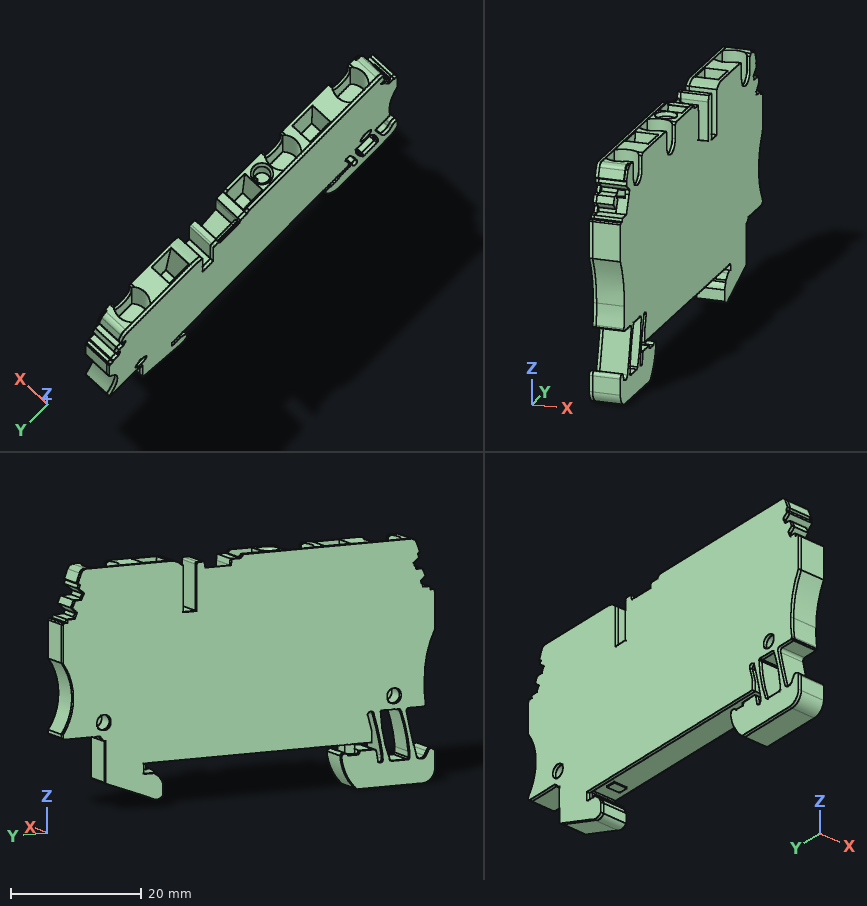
import cadquery as cq
import math

WIDTH = 5.1
LENGTH = 64.05
HEIGHT = 38.35
COVER_THICKNESS = 0.6
HALF = LENGTH / 2

SHOULDER_Z = 30.15
LEDGE_Z = 30.7
WAIST_TOP_Z = 23.9
SKIRT_Z = 12.0
RAIL_Z = 7.1
FOOT_ROUND = 2.2
SKIRT_CORNER_Y = 30.2

SLOT_TOP_Y = 11.35
SLOT_END_Y = 8.95
WINDOW_Y = (3.1, 7.5)
WINDOW_Z = 36.8
WINDOW_WALL_X = 0.95
WINDOW_DEPTH = 6.4
WINDOW_RISE = 1.6
WINDOW_BEVEL_X = 0.25
WINDOW_BEVEL_DROP = 0.65

OPENING_X = 2.6
OPENING_WALL_X = 4.6
FUNNEL_RADIUS = 2.8
FUNNEL_DEPTH = 9.6
FUNNEL_YS = (24.3, -9.3, -24.3)
NOTCH_HALF_WIDTH = 1.9
NOTCH_CHAMFER = 0.4
NOTCH_STRAIGHT = 2.55

LEVER_X = (0.8, 4.55)
LEVER_DEPTH = 9.6
LEVER_POCKETS = (
    (13.6, 17.9, 14.7, 17.5),
    (-2.8, 1.5, -2.3, 0.3),
    (-17.9, -13.4, -17.7, -14.35),
)

TEST_Y = -4.6
TEST_RADIUS = 1.35
TEST_MOUTH_RADIUS = 1.7
TEST_MOUTH_DEPTH = 0.65
TEST_DEPTH = 5.1
SOCKET_HEIGHT = 1.9
KEY_WIDTH = 1.0
KEY_START = 0.45

PEG_Y = 25.0
PEG_Z = 14.1
PEG_RADIUS = 1.2
PEG_DEPTH = 3.2

TOOTH_END_X = 3.4
BORE_X = 3.85
BORE_RADIUS = 0.7
BORE_Y = -28.3
BORE_Z = (33.0, 34.1)
LIP_END_X = 4.75

CONTACT_X = (1.3, 3.85)
CONTACT_TOP_Z = 8.95
LEG_Y = (-18.8, -17.15)
LEG_BOTTOM_Z = 5.4
PAD_Y = (13.1, 14.85)
PAD_BOTTOM_Z = 6.9

TEETH = [
    (29.45, 36.2), (29.1, 35.95), (29.35, 35.35), (28.4, 34.6), (28.9, 33.55), (29.9, 33.55),
    (30.4, 32.4), (29.6, 31.65), (30.05, LEDGE_Z), (31.2, LEDGE_Z), (31.25, SHOULDER_Z),
    (31.85, SHOULDER_Z), (HALF, 29.9),
]
TOP_CORNER_Y = 27.85


def prism(points, x_start, x_end):
    """Straight-sided solid along X from a closed (Y, Z) outline."""
    return cq.Workplane("YZ", origin=(x_start, 0, 0)).polyline(points).close().extrude(x_end - x_start)


def box(x_range, y_range, z_range):
    size = [high - low for low, high in (x_range, y_range, z_range)]
    return cq.Workplane().box(*size, centered=False).translate((x_range[0], y_range[0], z_range[0]))


def side_outline(x_start):
    """Closed (Y, Z) outline of the whole block, clockwise from the +Y top corner."""
    line = cq.Workplane("YZ", origin=(x_start, 0, 0)).moveTo(TOP_CORNER_Y, HEIGHT)

    line = line.lineTo(13.45, HEIGHT).threePointArc((12.35, 38.2), (SLOT_TOP_Y, 37.55))
    for point in [(SLOT_TOP_Y, SHOULDER_Z), (SLOT_END_Y, SHOULDER_Z), (SLOT_END_Y, 37.5)]:
        line = line.lineTo(*point)
    line = line.threePointArc((8.87, 37.695), (8.65, 37.8))
    for point in [
        (7.7, 37.8), (WINDOW_Y[1], WINDOW_Z), (WINDOW_Y[0], WINDOW_Z), (2.95, 37.8), (1.5, 37.8),
        (0.95, HEIGHT), (-TOP_CORNER_Y, HEIGHT),
    ]:
        line = line.lineTo(*point)

    line = line.threePointArc((-28.55, 38.2), (-28.9, 37.7))
    for y, z in TEETH:
        line = line.lineTo(-y, z)
    line = line.lineTo(-HALF, WAIST_TOP_Z).threePointArc((-30.7, 20.25), (-SKIRT_CORNER_Y, 16.1))
    line = line.threePointArc((-SKIRT_CORNER_Y, 14.3), (-30.4, 12.5)).lineTo(-30.4, 12.2)
    line = line.lineTo(-SKIRT_CORNER_Y, SKIRT_Z)

    line = line.lineTo(-27.55, SKIRT_Z).threePointArc((-27.2, 11.8), (-27.15, 11.35))
    line = line.threePointArc((-27.9, 7.95), (-28.8, 4.4))
    line = line.threePointArc((-29.65, 3.85), (-30.4, 4.2)).lineTo(-30.8, 4.9)
    line = line.threePointArc((-31.45, 5.4), (-HALF, 4.8)).lineTo(-HALF, FOOT_ROUND)
    round_inset = FOOT_ROUND * (1 - math.sqrt(0.5))
    line = line.threePointArc((-HALF + round_inset, round_inset), (-HALF + FOOT_ROUND, 0))
    line = line.lineTo(-18.6, 0).threePointArc((-16.85, 2.25), (-15.95, 5.4))

    line = line.threePointArc((-16.45, 5.75), (-17.15, 5.4))
    for point in [(-18.8, 5.4), (-19.15, 5.95), (-21.7, 5.95), (-21.9, 5.75), (-22.15, 4.3)]:
        line = line.lineTo(*point)
    line = line.threePointArc((-22.6, 3.85), (-23.05, 4.4)).lineTo(-23.05, 4.85)
    line = line.threePointArc((-22.5, 7.8), (-21.5, 11.45)).threePointArc((-20.9, 12.0), (-20.4, 11.45))
    line = line.lineTo(-21.15, 8.9).lineTo(-21.15, RAIL_Z)

    line = line.lineTo(18.1, RAIL_Z).lineTo(18.1, 5.6).lineTo(17.95, 5.45).lineTo(16.2, 5.45)
    line = line.threePointArc((15.25, 4.6), (14.8, 3.7)).lineTo(14.8, 1.85)
    line = line.threePointArc((15.55, 1.35), (16.7, 1.55))
    for point in [
        (24.5, 4.4), (24.65, 4.6), (24.65, 11.2), (25.05, 11.2), (25.7, SKIRT_Z),
        (31.85, SKIRT_Z), (HALF, 12.2),
    ]:
        line = line.lineTo(*point)

    line = line.lineTo(HALF, 12.75).threePointArc((30.2, 18.05), (HALF, WAIST_TOP_Z))
    for y, z in reversed(TEETH):
        line = line.lineTo(y, z)
    return line.lineTo(28.9, 37.7).threePointArc((28.55, 38.2), (TOP_CORNER_Y, HEIGHT)).close()


def spring_window(x_start):
    """Opening between the two legs of the spring foot."""
    return (
        cq.Workplane("YZ", origin=(x_start, 0, 0))
        .moveTo(-22.85, SKIRT_Z).lineTo(-25.95, SKIRT_Z).lineTo(-26.25, 11.45)
        .threePointArc((-27.15, 8.3), (-27.7, 5.1))
        .lineTo(-27.7, 4.15).lineTo(-27.4, 3.9).lineTo(-24.6, 3.9).lineTo(-24.3, 4.15)
        .threePointArc((-23.2, 7.8), (-22.7, 11.8)).close()
    )


def slab(x_start, x_end):
    thickness = x_end - x_start
    return side_outline(x_start).extrude(thickness).cut(spring_window(x_start).extrude(thickness))


def peg_holes():
    return (
        cq.Workplane("YZ").pushPoints([(PEG_Y, PEG_Z), (-PEG_Y, PEG_Z)])
        .circle(PEG_RADIUS).extrude(PEG_DEPTH)
    )


def funnel(y):
    """Round wire funnel, flattened at both side walls, with its notch through the +X wall."""
    top = HEIGHT - FUNNEL_DEPTH
    bore = cq.Workplane(origin=(OPENING_X, y, top)).circle(FUNNEL_RADIUS).extrude(FUNNEL_DEPTH)
    reach = (y - FUNNEL_RADIUS, y + FUNNEL_RADIUS)
    bore = bore.intersect(box((COVER_THICKNESS, OPENING_WALL_X), reach, (top, HEIGHT)))
    floor_z = HEIGHT - NOTCH_STRAIGHT
    mouth = NOTCH_HALF_WIDTH + NOTCH_CHAMFER
    notch = (
        cq.Workplane("YZ", origin=(OPENING_X, 0, 0))
        .moveTo(y - mouth, HEIGHT).lineTo(y - NOTCH_HALF_WIDTH, HEIGHT - NOTCH_CHAMFER)
        .lineTo(y - NOTCH_HALF_WIDTH, floor_z)
        .threePointArc((y, floor_z - NOTCH_HALF_WIDTH), (y + NOTCH_HALF_WIDTH, floor_z))
        .lineTo(y + NOTCH_HALF_WIDTH, HEIGHT - NOTCH_CHAMFER).lineTo(y + mouth, HEIGHT)
        .close().extrude(WIDTH - OPENING_X)
    )
    return bore.union(notch)


def lever_pocket(top_low, top_high, bottom_low, bottom_high):
    floor_z = HEIGHT - LEVER_DEPTH
    points = [(top_low, HEIGHT), (top_high, HEIGHT), (bottom_high, floor_z), (bottom_low, floor_z)]
    return prism(points, *LEVER_X)


def test_hole():
    mouth_z = HEIGHT - TEST_MOUTH_DEPTH
    bore_start = (OPENING_X, TEST_Y, HEIGHT - TEST_DEPTH)
    bore = cq.Workplane(origin=bore_start).circle(TEST_RADIUS).extrude(TEST_DEPTH)
    mouth = (
        cq.Workplane(origin=(OPENING_X, TEST_Y, mouth_z)).circle(TEST_RADIUS)
        .workplane(offset=TEST_MOUTH_DEPTH).circle(TEST_MOUTH_RADIUS).loft()
    )
    return bore.union(mouth)


def marker_window():
    floor_z = WINDOW_Z - WINDOW_DEPTH
    points = [
        (WINDOW_Y[0], floor_z + WINDOW_RISE), (WINDOW_Y[0], HEIGHT),
        (WINDOW_Y[1], HEIGHT), (WINDOW_Y[1], floor_z),
    ]
    return prism(points, WINDOW_WALL_X, WIDTH)


def window_bevel():
    """Wedge that slopes the cover's edge down to the lower wall beside the window."""
    wedge = [
        (WINDOW_BEVEL_X, WINDOW_Z), (COVER_THICKNESS, WINDOW_Z - WINDOW_BEVEL_DROP),
        (WINDOW_WALL_X, WINDOW_Z - WINDOW_BEVEL_DROP), (WINDOW_WALL_X, WINDOW_Z),
    ]
    return (
        cq.Workplane("XZ", origin=(0, WINDOW_Y[1], 0))
        .polyline(wedge).close().extrude(WINDOW_Y[1] - WINDOW_Y[0])
    )


def tooth_clearance():
    """Removes the lower -Y tooth beside the +X wall and bores the slope that is left."""
    points = [(-27.85, 34.2), (-28.4, 34.6), (-30.75, 34.6), (-30.75, 32.0), (-30.05, LEDGE_Z), (-29.35, LEDGE_Z)]
    cutter = prism(points, TOOTH_END_X, WIDTH)
    bore = cq.Workplane(origin=(BORE_X, BORE_Y, BORE_Z[0])).circle(BORE_RADIUS).extrude(BORE_Z[1] - BORE_Z[0])
    return cutter.union(bore)


def tooth_grooves(side):
    """Deepens both grooves under the teeth behind the cover; side is the sign of Y."""
    upper = [(28.4, 34.6), (27.85, 34.2), (28.1, 33.55), (28.9, 33.55)]
    lower = [(29.6, 31.65), (29.15, 31.25), (29.35, LEDGE_Z), (30.05, LEDGE_Z)]
    grooves = [prism([(side * y, z) for y, z in outline], COVER_THICKNESS, WIDTH) for outline in (upper, lower)]
    return grooves[0].union(grooves[1])


def lip_setback(side):
    """Sets the sloped top end back beside the +X face; side is the sign of Y."""
    outline = [(27.7, HEIGHT), (28.6, 37.7), (29.2, 36.1), (29.8, 35.95), (30.1, 37.15), (30.1, HEIGHT)]
    return prism([(side * y, z) for y, z in outline], LIP_END_X, WIDTH)


def rail_hook_pad():
    """Raised inner shape of the fixed hook, hidden beside the cover."""
    points = [
        (18.1, RAIL_Z), (17.3, RAIL_Z), (17.5, 6.85), (17.5, 6.0), (17.0, 6.2),
        (16.4, 5.95), (15.4, 5.1), (15.4, 4.5), (18.1, 4.5),
    ]
    return prism(points, COVER_THICKNESS, WIDTH)


def make_rail_contact(y_range, bottom_z):
    return box(CONTACT_X, y_range, (bottom_z, CONTACT_TOP_Z))


def make_test_socket():
    """Round plug on the floor of the test hole with a keyed recess in its top."""
    floor_z = HEIGHT - TEST_DEPTH
    plug = cq.Workplane(origin=(OPENING_X, TEST_Y, floor_z)).circle(TEST_RADIUS).extrude(SOCKET_HEIGHT)
    half_key = KEY_WIDTH / 2
    step = (floor_z + SOCKET_HEIGHT / 2, floor_z + SOCKET_HEIGHT)
    lower = box((0, WIDTH), (TEST_Y - TEST_RADIUS, TEST_Y + KEY_START), step)
    key = box((OPENING_X - half_key, OPENING_X + half_key), (TEST_Y, TEST_Y + TEST_RADIUS), step)
    return plug.cut(lower).cut(key)


def make_cover():
    return slab(0, COVER_THICKNESS).cut(peg_holes()).cut(window_bevel())


def make_housing(contacts):
    body = slab(COVER_THICKNESS, WIDTH).union(rail_hook_pad()).cut(peg_holes())
    for y in FUNNEL_YS:
        body = body.cut(funnel(y))
    for pocket in LEVER_POCKETS:
        body = body.cut(lever_pocket(*pocket))
    body = body.cut(test_hole()).cut(marker_window()).cut(window_bevel())
    body = body.cut(tooth_clearance())
    for side in (1, -1):
        body = body.cut(tooth_grooves(side)).cut(lip_setback(side))
    for contact in contacts:
        body = body.cut(contact)
    return body


contacts = [make_rail_contact(LEG_Y, LEG_BOTTOM_Z), make_rail_contact(PAD_Y, PAD_BOTTOM_Z)]
housing = make_housing(contacts)
cover = make_cover()
test_socket = make_test_socket()

result = cq.Compound.makeCompound(
    [housing.val(), cover.val(), test_socket.val(), *[contact.val() for contact in contacts]]
)